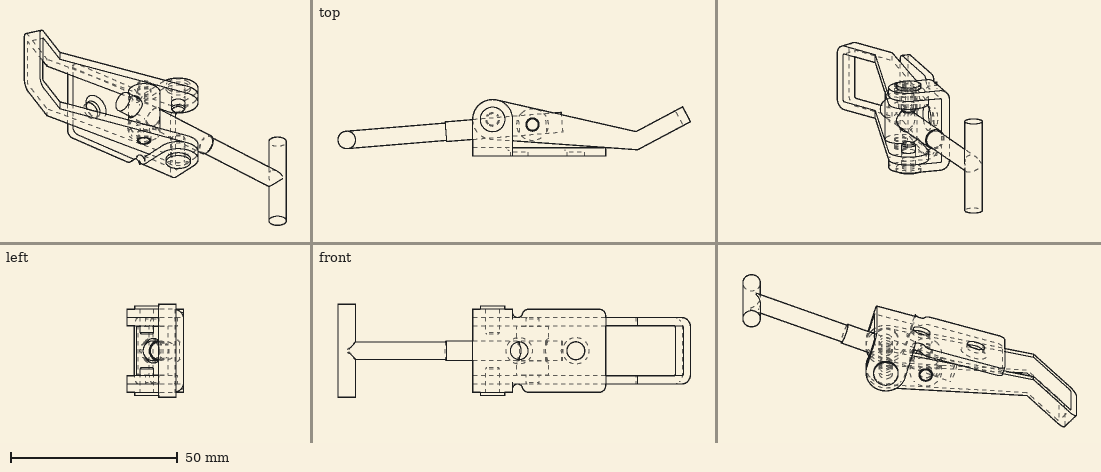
import cadquery as cq
import math


sheet = 2.5
pivot_radius = 6.0
inner_bend = 0.5
outer_bend = inner_bend + sheet

bracket_width = 25.0
plate_bottom = -11.0
plate_top = plate_bottom + sheet
plate_end = 34.0
plate_corner_radius = 2.0
plate_hole_diameter = 5.3
plate_hole_x = (8.0, 25.0)
plate_hole_land = 1.2
notch_floor_radius = 1.5
notch_mouth_radius = 2.0

lever_width = bracket_width - 2 * sheet
lever_gap = lever_width - 2 * sheet
heel = (43.55, -9.15)
grip_angle = math.radians(28)
grip_length = 18.03
grip_top_length = 15.85
grip_depth = 5.1

rivet_head_diameter = 7.4
rivet_head_height = 1.0
shank_diameter = 4.1
rivet_gap = 10.0
pin_chamfer = 0.3
pin_chamfer_length = 0.5

barrel_center = (12.0, -1.55)
barrel_diameter = 9.5
barrel_length = 14.5
trunnion_diameter = 4.0
countersink_diameter = 7.4

crossbar_center = (-43.8, -6.15)
crossbar_diameter = 5.3
crossbar_length = 28.0
rod_diameter = crossbar_diameter
rod_thin_length = 29.9
rod_thick_diameter = 6.0
rod_tail = 8.9
rod_dx = barrel_center[0] - crossbar_center[0]
rod_dy = barrel_center[1] - crossbar_center[1]
rod_reach = math.hypot(rod_dx, rod_dy)
rod_direction = cq.Vector(rod_dx, rod_dy, 0) / rod_reach


def z_cylinder(center, diameter, length):
    """Cylinder along Z, centred on Z = 0."""
    return cq.Workplane("XY").center(*center).circle(diameter / 2).extrude(length / 2, both=True)


def rod_cylinder(diameter, start, end):
    """Cylinder on the rod axis between two distances from the crossbar axis."""
    base = cq.Vector(*crossbar_center, 0) + rod_direction * start
    return cq.Workplane(cq.Solid.makeCylinder(diameter / 2, end - start, base, rod_direction))


def make_notch(side):
    """Cutter for the relief beside one ear: a round floor blending into a rounded plate corner."""
    edge = bracket_width / 2
    past = edge + sheet
    floor_x = pivot_radius + notch_floor_radius
    floor_z = lever_width / 2 + notch_floor_radius
    mouth_z = edge - notch_mouth_radius
    blend_angle = math.asin((mouth_z - floor_z) / (notch_floor_radius + notch_mouth_radius))
    mouth_x = floor_x + (notch_floor_radius + notch_mouth_radius) * math.cos(blend_angle)
    floor_middle = (blend_angle - math.pi) / 2
    mouth_middle = (blend_angle + 3 * math.pi / 2) / 2

    def floor_point(angle):
        x = floor_x + notch_floor_radius * math.cos(angle)
        return (x, side * (floor_z + notch_floor_radius * math.sin(angle)))

    def mouth_point(angle):
        x = mouth_x + notch_mouth_radius * math.cos(angle)
        return (x, side * (mouth_z + notch_mouth_radius * math.sin(angle)))

    return (
        cq.Workplane("XZ", origin=(0, plate_bottom, 0))
        .moveTo(pivot_radius, side * past)
        .lineTo(*floor_point(-math.pi))
        .threePointArc(floor_point(floor_middle), floor_point(blend_angle))
        .threePointArc(mouth_point(mouth_middle), mouth_point(math.pi / 2))
        .lineTo(mouth_x, side * past)
        .close()
        .extrude(-sheet)
    )


def make_plate_hole(x):
    """Cutter for one mounting hole, countersunk from the lever side."""
    radius = plate_hole_diameter / 2
    countersink_depth = sheet - plate_hole_land
    return (
        cq.Workplane("XY")
        .moveTo(x, plate_bottom)
        .lineTo(x + radius, plate_bottom)
        .lineTo(x + radius, plate_bottom + plate_hole_land)
        .lineTo(x + radius + countersink_depth, plate_top)
        .lineTo(x, plate_top)
        .close()
        .revolve(360, (x, 0, 0), (x, 1, 0))
    )


def make_bracket():
    """U-shaped bracket: two rounded ears on a flat base plate with mounting holes."""
    channel = (
        cq.Workplane("XY")
        .moveTo(-pivot_radius, plate_bottom)
        .lineTo(pivot_radius, plate_bottom)
        .lineTo(pivot_radius, 0)
        .threePointArc((0, pivot_radius), (-pivot_radius, 0))
        .close()
        .extrude(bracket_width / 2, both=True)
        .edges("<Y and |X")
        .fillet(outer_bend)
    )
    inside = (
        cq.Workplane("XY")
        .box(2 * pivot_radius, pivot_radius - plate_top, lever_width)
        .translate((0, (pivot_radius + plate_top) / 2, 0))
        .edges("<Y and |X")
        .fillet(inner_bend)
    )
    plate = (
        cq.Workplane("XY")
        .box(plate_end - pivot_radius, sheet, bracket_width)
        .translate(((plate_end + pivot_radius) / 2, plate_bottom + sheet / 2, 0))
        .edges(">X and |Y")
        .fillet(plate_corner_radius)
    )
    for side in (-1, 1):
        plate = plate.cut(make_notch(side))
    bracket = channel.cut(inside).union(plate)
    for x in plate_hole_x:
        bracket = bracket.cut(make_plate_hole(x))
    return bracket.cut(z_cylinder((0, 0), shank_diameter, bracket_width))


def tangent_angle(point, side):
    """Polar angle where a line from the point touches the pivot round, above (1) or below (-1)."""
    spread = math.acos(pivot_radius / math.hypot(*point))
    return math.atan2(point[1], point[0]) + side * spread


def on_pivot_round(angle):
    """Point on the round around the pivot at a polar angle."""
    return (pivot_radius * math.cos(angle), pivot_radius * math.sin(angle))


def make_lever():
    """Bent-strip lever: two tapered cheeks joined by a cross strip at the tip of the grip."""
    cos_grip = math.cos(grip_angle)
    sin_grip = math.sin(grip_angle)
    tip_low = (heel[0] + grip_length * cos_grip, heel[1] + grip_length * sin_grip)
    tip_high = (tip_low[0] - grip_depth * sin_grip, tip_low[1] + grip_depth * cos_grip)
    crook = (tip_high[0] - grip_top_length * cos_grip, tip_high[1] - grip_top_length * sin_grip)
    blank = (
        cq.Workplane("XY")
        .moveTo(*on_pivot_round(tangent_angle(heel, -1)))
        .lineTo(*heel)
        .lineTo(*tip_low)
        .lineTo(*tip_high)
        .lineTo(*crook)
        .lineTo(*on_pivot_round(tangent_angle(crook, 1)))
        .threePointArc((-pivot_radius, 0), on_pivot_round(tangent_angle(heel, -1)))
        .close()
        .extrude(lever_width / 2, both=True)
    )
    tip_plane = cq.Plane(origin=(*tip_low, 0), xDir=(0, 0, 1), normal=(cos_grip, sin_grip, 0))
    tip_face = cq.selectors.DirectionMinMaxSelector(tip_plane.zDir, True)
    side_edges = cq.selectors.ParallelDirSelector(tip_plane.yDir)
    blank = blank.faces(tip_face).edges(side_edges).fillet(outer_bend)
    clearance = 2 * heel[0]
    opening = (
        cq.Workplane(tip_plane)
        .workplane(offset=-sheet)
        .rect(lever_gap, clearance)
        .extrude(-clearance)
        .faces(tip_face)
        .edges(side_edges)
        .fillet(inner_bend)
    )
    lever = blank.cut(opening)
    lever = lever.cut(z_cylinder((0, 0), shank_diameter, lever_width))
    return lever.cut(z_cylinder(barrel_center, trunnion_diameter, lever_width))


def make_rivet(side):
    """Headed pivot rivet through one ear and one lever cheek, revolved about Z."""
    head_bottom = side * bracket_width / 2
    head_top = head_bottom + side * rivet_head_height
    inner_end = side * rivet_gap / 2
    shank_radius = shank_diameter / 2
    return (
        cq.Workplane("XZ")
        .moveTo(0, inner_end)
        .lineTo(shank_radius - pin_chamfer, inner_end)
        .lineTo(shank_radius, inner_end + side * pin_chamfer_length)
        .lineTo(shank_radius, head_bottom)
        .lineTo(rivet_head_diameter / 2, head_bottom)
        .lineTo(rivet_head_diameter / 2, head_top)
        .lineTo(0, head_top)
        .close()
        .revolve(360, (0, 0, 0), (0, 1, 0))
    )


def make_barrel():
    """Cross barrel that turns on trunnions in the lever and takes the draw rod."""
    trunnions = z_cylinder(barrel_center, trunnion_diameter, lever_width)
    trunnions = trunnions.faces("<Z or >Z").chamfer(pin_chamfer_length, pin_chamfer)
    barrel = z_cylinder(barrel_center, barrel_diameter, barrel_length).union(trunnions)
    bore = rod_cylinder(rod_thick_diameter, rod_reach - barrel_diameter, rod_reach + barrel_diameter)
    barrel = barrel.cut(bore)
    mouth_radius = countersink_diameter / 2
    for side in (-1, 1):
        outward = rod_direction * side
        mouth = cq.Vector(*barrel_center, 0) + outward * (barrel_diameter / 2)
        countersink = cq.Solid.makeCone(mouth_radius, 0, mouth_radius, mouth, outward * -1)
        barrel = barrel.cut(cq.Workplane(countersink))
    return barrel


def make_draw_rod():
    """Stepped rod with a crossbar at its free end."""
    crossbar = z_cylinder(crossbar_center, crossbar_diameter, crossbar_length)
    thin = rod_cylinder(rod_diameter, 0, rod_thin_length)
    thick = rod_cylinder(rod_thick_diameter, rod_thin_length, rod_reach + rod_tail)
    return crossbar.union(thin).union(thick)


bracket = make_bracket()
lever = make_lever()
rivets = [make_rivet(side).val() for side in (-1, 1)]
barrel = make_barrel()
draw_rod = make_draw_rod()

result = cq.Compound.makeCompound([bracket.val(), lever.val(), *rivets, barrel.val(), draw_rod.val()])